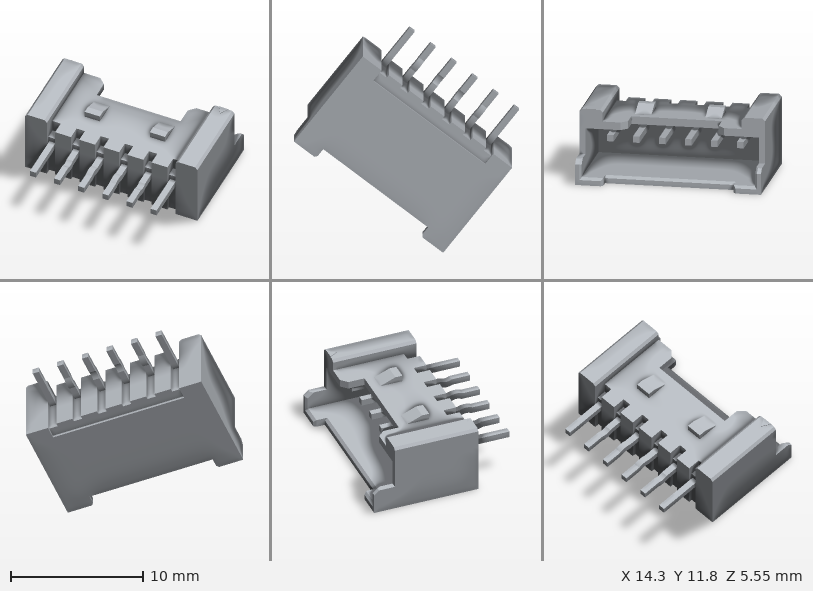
import cadquery as cq
import math


width = 14.3
depth = 8.5
shoulder_depth = 6.8
end_height = 5.5
end_width = 1.8
end_chamfer = 0.2
middle_height = 4.6
middle_width = width - 2 * end_width

side_wall = 0.47
floor_thickness = 0.6
roof_thickness = 0.6
rear_wall = 1.5
cavity_width = width - 2 * side_wall

side_wall_height = 1.97
tip_chamfer_length = 0.4
tip_chamfer_drop = 0.35
wall_lead_in = 0.16
floor_lead_in = 0.2
lip_width = 10.04
lip_depth = 7.61

window_width = 6.96
window_rear = 5.0
window_chamfer = 0.5

pin_count = 6
pin_pitch = 2.0
pin_size = 0.5
pin_height = 2.95
pin_front = 5.52
pin_rear = -3.3
pin_positions = [(i - (pin_count - 1) / 2) * pin_pitch for i in range(pin_count)]
pin_bows = [0, -1, 1, 1, -1, 0]
bow_center = -1.39
bow_rise = 0.11
bow_outer_length = 1.06
slot_width = middle_width - pin_pitch * (pin_count - 1)
slot_depth = 0.27
slot_upper_depth = 1.03
slot_shelf = 3.62
underside_relief = 0.2

ramp_offset = 2.7
ramp_width = 1.26
ramp_height = 0.5
ramp_rear = 2.47
ramp_crest = 3.05
ramp_front = 4.29
mark_width = 0.8
mark_length = 0.67
mark_height = 0.05


def block(x_size, y_start, y_end, z_start, z_end, x_center=0.0):
    """Box centred on x_center, given by its Y and Z limits."""
    return (
        cq.Workplane("XY")
        .box(x_size, y_end - y_start, z_end - z_start, centered=(True, False, False))
        .translate((x_center, y_start, z_start))
    )


def side_profile(points, thickness, x_center=0.0):
    """Extrude a closed outline of (y, z) points along X, centred on x_center."""
    profile = cq.Workplane("YZ").polyline(points).close()
    return profile.extrude(thickness / 2, both=True).translate((x_center, 0, 0))


def mirrored_pair(shape):
    return shape.union(shape.mirror("YZ"))


def end_block():
    center = (width - end_width) / 2
    block_body = block(end_width, 0, shoulder_depth, 0, end_height, center)
    return block_body.faces(">Z").edges("|Y").chamfer(end_chamfer)


def low_side_wall():
    """Low wall with a sloped tip and a lead-in along the inner edges of that tip."""
    outline = [
        (0, 0),
        (depth, 0),
        (depth, side_wall_height - tip_chamfer_drop),
        (depth - tip_chamfer_length, side_wall_height),
        (0, side_wall_height),
    ]
    wall = side_profile(outline, side_wall, (width - side_wall) / 2)
    slope_start = depth - tip_chamfer_length - wall_lead_in
    inner_tip_edges = cq.selectors.BoxSelector(
        (cavity_width / 2 - wall_lead_in / 2, slope_start, wall_lead_in),
        (cavity_width / 2 + wall_lead_in / 2, depth + wall_lead_in, side_wall_height + wall_lead_in),
    )
    return wall.edges(inner_tip_edges).chamfer(wall_lead_in)


def floor_plate():
    """Floor with two front tabs and a lead-in along its upper front edges."""
    floor_width = cavity_width + 2 * wall_lead_in
    half_width = floor_width / 2
    half_lip = lip_width / 2
    outline = [
        (-half_width, 0),
        (half_width, 0),
        (half_width, depth),
        (half_lip + wall_lead_in, depth),
        (half_lip, depth - floor_lead_in),
        (half_lip, lip_depth),
        (-half_lip, lip_depth),
        (-half_lip, depth - floor_lead_in),
        (-half_lip - wall_lead_in, depth),
        (-half_width, depth),
    ]
    plate = cq.Workplane("XY").polyline(outline).close().extrude(floor_thickness)
    for front, span in ((depth, floor_width), (lip_depth, lip_width)):
        bevel = [
            (front - floor_lead_in, floor_thickness),
            (front, floor_thickness - floor_lead_in),
            (front, floor_thickness),
        ]
        plate = plate.cut(side_profile(bevel, span))
    return plate


def roof_window():
    half_width = window_width / 2
    outline = [
        (-half_width, window_rear),
        (half_width, window_rear),
        (half_width, shoulder_depth - window_chamfer),
        (half_width + window_chamfer, shoulder_depth),
        (-half_width - window_chamfer, shoulder_depth),
        (-half_width, shoulder_depth - window_chamfer),
    ]
    cutter = cq.Workplane("XY").workplane(offset=floor_thickness).polyline(outline).close()
    return cutter.extrude(middle_height - floor_thickness)


def rear_slot(x):
    """Slot around one pin, deeper above its shelf than below."""
    outline = [
        (0, 0),
        (slot_depth, 0),
        (slot_depth, slot_shelf),
        (slot_upper_depth, slot_shelf),
        (slot_upper_depth, middle_height),
        (0, middle_height),
    ]
    return side_profile(outline, slot_width, x)


def pin(x, bow):
    """Square pin; a bowed one rises or dips through a pair of concentric arcs."""
    if bow == 0:
        return block(pin_size, pin_rear, pin_front,
                     pin_height - pin_size / 2, pin_height + pin_size / 2, x)
    outer_half = bow_outer_length / 2
    outer_radius = (outer_half**2 + bow_rise**2) / (2 * bow_rise)
    inner_radius = outer_radius - pin_size
    inner_half = math.sqrt(inner_radius**2 - (inner_radius - bow_rise)**2)
    outer = pin_height + bow * pin_size / 2
    inner = pin_height - bow * pin_size / 2
    rise = bow * bow_rise
    profile = (
        cq.Workplane("YZ")
        .moveTo(pin_rear, outer)
        .lineTo(bow_center - outer_half, outer)
        .threePointArc((bow_center, outer + rise), (bow_center + outer_half, outer))
        .lineTo(pin_front, outer)
        .lineTo(pin_front, inner)
        .lineTo(bow_center + inner_half, inner)
        .threePointArc((bow_center, inner + rise), (bow_center - inner_half, inner))
        .lineTo(pin_rear, inner)
        .close()
    )
    return profile.extrude(pin_size / 2, both=True).translate((x, 0, 0))


def locking_ramp():
    crest = middle_height + ramp_height
    outline = [
        (ramp_rear, middle_height),
        (ramp_front, middle_height),
        (ramp_crest, crest),
        (ramp_rear, crest),
    ]
    return side_profile(outline, ramp_width, ramp_offset)


def pin_one_mark():
    center = (width - end_width) / 2
    outline = [
        (center - mark_width / 2, shoulder_depth),
        (center + mark_width / 2, shoulder_depth),
        (center, shoulder_depth - mark_length),
    ]
    triangle = cq.Workplane("XY").workplane(offset=end_height).polyline(outline).close()
    return triangle.extrude(mark_height)


housing = block(middle_width, 0, shoulder_depth, 0, middle_height)
housing = housing.union(mirrored_pair(end_block()))
cavity_top = middle_height - roof_thickness
housing = housing.cut(block(cavity_width, rear_wall, depth, floor_thickness, cavity_top))
housing = housing.cut(roof_window())
housing = housing.union(mirrored_pair(low_side_wall())).union(floor_plate())

for x in pin_positions:
    housing = housing.cut(rear_slot(x))
housing = housing.cut(block(middle_width, 0, slot_upper_depth, 0, underside_relief))

housing = housing.union(mirrored_pair(locking_ramp())).union(pin_one_mark())

result = housing
for x, bow in zip(pin_positions, pin_bows):
    result = result.union(pin(x, bow))